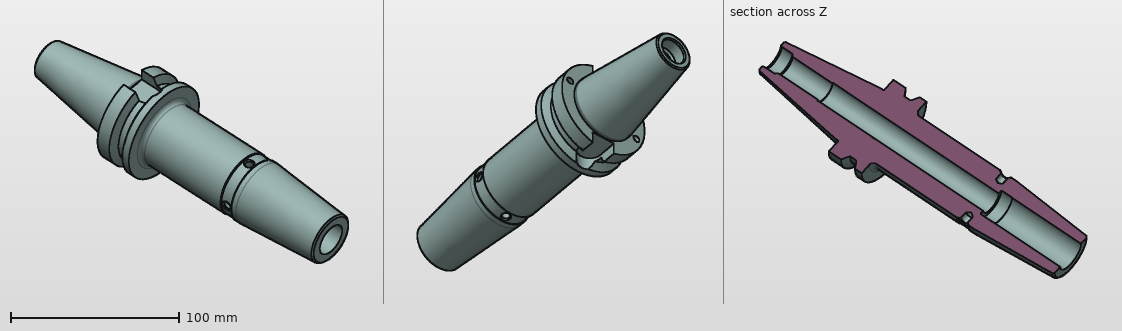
import cadquery as cq
import math


gauge_diameter = 44.45
taper_ratio = 7 / 24
shank_length = 65.4
shank_chamfer = 0.8
collar_diameter = 44.25
collar_step_start = 0.7
collar_start = 1.4

flange_start = 2.0
flange_end = 27.0
flange_diameter = 63.0
groove_center = 16.6
groove_floor_diameter = 53.0
groove_floor_width = 4.6
groove_half_angle = 30.0

body_diameter = 42.0
neck_fillet = 3.0
nose_end = 160.0
nose_diameter = 33.0
nose_chamfer = 1.0
nose_taper_start = 102.6

band_center = 95.0
band_width = 8.0
band_diameter = 41.0

pull_stud_recess_diameter = 17.0
pull_stud_recess_depth = 9.0
recess_chamfer = 0.5
recess_chamfer_length = 1.2
pull_stud_thread_diameter = 14.0
pull_stud_thread_end = -25.0
coolant_bore_diameter = 15.0
tool_bore_relief_diameter = 20.3
tool_bore_relief_start = 100.0
tool_bore_relief_length = 8.0
tool_bore_diameter = 20.0

slot_width = 16.1
slot_floor_height = 22.5
slot_end = 23.0
slot_count = 2

coolant_hole_diameter = 4.2
coolant_hole_angle = 20.0
coolant_inlet_radius = 26.8
coolant_inlet_slant = 25.0
coolant_hole_count = 2

screw_hole_diameter = 4.92
screw_countersink_diameter = 6.8
screw_hole_depth = 6.0
screw_drill_point_angle = 118.0
screw_hole_count = 4


def make_outside():
    """Turned outside of the holder."""
    shank_small_radius = (gauge_diameter - shank_length * taper_ratio) / 2
    shank_chamfer_radius = shank_small_radius + shank_chamfer * taper_ratio / 2
    flange_radius = flange_diameter / 2
    groove_floor_radius = groove_floor_diameter / 2
    floor_half = groove_floor_width / 2
    groove_run = (flange_radius - groove_floor_radius) * math.tan(math.radians(groove_half_angle))
    body_radius = body_diameter / 2
    band_radius = band_diameter / 2
    band_step = body_radius - band_radius
    band_start = band_center - band_width / 2
    band_end = band_center + band_width / 2
    nose_radius = nose_diameter / 2
    nose_slope = (body_radius - nose_radius) / (nose_end - nose_taper_start)

    profile = (
        cq.Workplane("XY")
        .moveTo(-shank_length, 0)
        .lineTo(-shank_length, shank_small_radius - shank_chamfer)
        .lineTo(-shank_length + shank_chamfer, shank_chamfer_radius)
        .lineTo(0, gauge_diameter / 2)
        .lineTo(collar_step_start, gauge_diameter / 2)
        .lineTo(collar_start, collar_diameter / 2)
        .lineTo(flange_start, collar_diameter / 2)
        .lineTo(flange_start, flange_radius)
        .lineTo(groove_center - floor_half - groove_run, flange_radius)
        .lineTo(groove_center - floor_half, groove_floor_radius)
        .lineTo(groove_center + floor_half, groove_floor_radius)
        .lineTo(groove_center + floor_half + groove_run, flange_radius)
        .lineTo(flange_end, flange_radius)
        .lineTo(flange_end, body_radius + neck_fillet)
        .radiusArc((flange_end + neck_fillet, body_radius), -neck_fillet)
        .lineTo(band_start - band_step, body_radius)
        .lineTo(band_start, band_radius)
        .lineTo(band_end, band_radius)
        .lineTo(band_end, body_radius)
        .lineTo(nose_taper_start, body_radius)
        .lineTo(nose_end - nose_chamfer, nose_radius + nose_chamfer * nose_slope)
        .lineTo(nose_end, nose_radius - nose_chamfer)
        .lineTo(nose_end, 0)
        .close()
    )
    return profile.revolve(360, (0, 0, 0), (1, 0, 0))


def make_bore():
    """Stepped central bore with a chamfered shank mouth and a conical recess bottom."""
    shank_face = -shank_length
    recess_end = shank_face + pull_stud_recess_depth
    recess_radius = pull_stud_recess_diameter / 2
    thread_radius = pull_stud_thread_diameter / 2
    cone_end = recess_end + recess_radius - thread_radius
    relief_end = tool_bore_relief_start + tool_bore_relief_length
    profile = (
        cq.Workplane("XY")
        .moveTo(shank_face, 0)
        .lineTo(shank_face, recess_radius + recess_chamfer)
        .lineTo(shank_face + recess_chamfer_length, recess_radius)
        .lineTo(recess_end, recess_radius)
        .lineTo(cone_end, thread_radius)
        .lineTo(pull_stud_thread_end, thread_radius)
        .lineTo(pull_stud_thread_end, coolant_bore_diameter / 2)
        .lineTo(tool_bore_relief_start, coolant_bore_diameter / 2)
        .lineTo(tool_bore_relief_start, tool_bore_relief_diameter / 2)
        .lineTo(relief_end, tool_bore_relief_diameter / 2)
        .lineTo(relief_end, tool_bore_diameter / 2)
        .lineTo(nose_end, tool_bore_diameter / 2)
        .lineTo(nose_end, 0)
        .close()
    )
    return profile.revolve(360, (0, 0, 0), (1, 0, 0))


def make_drive_slot():
    """Round-ended drive slot cutter on the +Z side."""
    half_width = slot_width / 2
    straight_end = slot_end - half_width
    return (
        cq.Workplane("XY", origin=(0, 0, slot_floor_height))
        .moveTo(0, -half_width)
        .lineTo(straight_end, -half_width)
        .threePointArc((slot_end, 0), (straight_end, half_width))
        .lineTo(0, half_width)
        .close()
        .extrude(flange_diameter / 2)
    )


def make_coolant_holes():
    """Radial hole from the groove floor to the bore, met by a slanted inlet from the flange face."""
    radius = coolant_hole_diameter / 2
    groove_floor_radius = groove_floor_diameter / 2
    slant = math.radians(coolant_inlet_slant)
    inlet_direction = cq.Vector(math.cos(slant), -math.sin(slant), 0)
    inlet_length = (groove_center - flange_start) / math.cos(slant)
    inlet_face = cq.Vector(flange_start, coolant_inlet_radius, 0)
    inlet = cq.Solid.makeCylinder(
        radius,
        inlet_length + coolant_hole_diameter,
        inlet_face - inlet_direction * coolant_hole_diameter,
        inlet_direction,
    )
    radial = cq.Solid.makeCylinder(
        radius,
        groove_floor_radius,
        cq.Vector(groove_center, groove_floor_radius, 0),
        cq.Vector(0, -1, 0),
    )
    holes = cq.Workplane("XY").add(inlet).union(cq.Workplane("XY").add(radial))
    return holes.rotate((0, 0, 0), (1, 0, 0), coolant_hole_angle)


def make_screw_hole():
    """Countersunk balancing screw hole on the +Z side of the band."""
    band_radius = band_diameter / 2
    hole_radius = screw_hole_diameter / 2
    sink_radius = screw_countersink_diameter / 2
    sink_depth = sink_radius - hole_radius
    point_depth = hole_radius / math.tan(math.radians(screw_drill_point_angle / 2))
    profile = (
        cq.Workplane("XZ", origin=(band_center, 0, 0))
        .moveTo(0, band_radius - screw_hole_depth - point_depth)
        .lineTo(hole_radius, band_radius - screw_hole_depth)
        .lineTo(hole_radius, band_radius - sink_depth)
        .lineTo(sink_radius, band_radius)
        .lineTo(sink_radius, body_diameter / 2)
        .lineTo(0, body_diameter / 2)
        .close()
    )
    return profile.revolve(360, (0, 0, 0), (0, 1, 0))


def cut_around(part, cutter, count):
    """Cut equally spaced copies of a cutter around the holder axis."""
    for index in range(count):
        part = part.cut(cutter.rotate((0, 0, 0), (1, 0, 0), index * 360 / count))
    return part


holder = make_outside().cut(make_bore())
holder = cut_around(holder, make_drive_slot(), slot_count)
holder = cut_around(holder, make_coolant_holes(), coolant_hole_count)
result = cut_around(holder, make_screw_hole(), screw_hole_count)